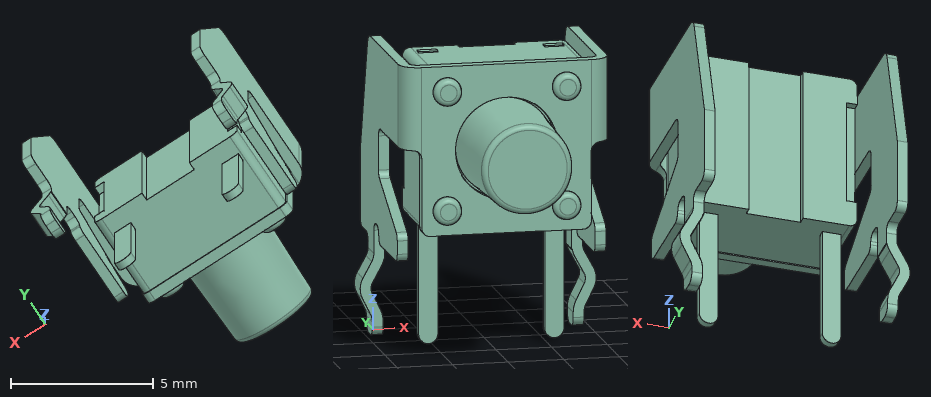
import cadquery as cq
import math


overall_height = 10.7

sheet = 0.4
plate_size = 6.1
plate_half = plate_size / 2
plate_corner = 0.3
bracket_width = 7.51
bracket_half = bracket_width / 2
bend_outer = 0.7
bend_inner = bend_outer - sheet

arm_back = 7.0
arm_bottom = -4.13
arm_top_back = 5.7
arm_slope_end = -1.39
arm_top_round = 0.5
arm_round = 0.3
window_top = 0.05
window_back = 3.94
window_low = -1.67
tip_front = 0.82
tip_top = -3.16
relief_top = -3.52
relief_front_top = 3.96
relief_front_bottom = 3.84

leg_front = 4.71
leg_width = 1.01
leg_back = leg_front + leg_width
leg_end = plate_half - overall_height
leg_apex = -5.9
kink_pitch = 1.04
apex_offset = 0.57
foot_offset = 0.05
kink_radius = 0.6
apex_radius = 0.4
leg_round = 0.34

body_size = 6.0
body_half = body_size / 2
body_back = 3.5
body_round = 0.3
back_step = 0.3
slot_width = 2.0
side_recess = 0.4
side_recess_half = slot_width

plunger_hole = 1.84
plunger_root = 1.75
plunger_end = 1.62
plunger_length = 3.5
plunger_round = 0.2
rivet_radius = 0.5
rivet_height = 0.3
rivet_round = 0.2
rivet_pitch = 4.29

pin_width = 0.7
pin_thickness = 0.3
pin_x = 2.27
pin_y = 2.68
pin_end = -7.5
pin_raise = 0.04


def block(x0, x1, y0, y1, z0, z1):
    """Axis-aligned block between two opposite corners."""
    return cq.Workplane("XY").box(x1 - x0, y1 - y0, z1 - z0, centered=False).translate((x0, y0, z0))


def mirrored_pair(solid):
    """The solid together with its mirror image across the YZ plane."""
    return solid.union(solid.mirror("YZ"))


def round_edge(solid, point, radius):
    """Round the edge whose middle lies nearest to the point."""
    return solid.edges(cq.NearestToPointSelector(point)).fillet(radius)


def channel():
    """U-shaped sheet, tall enough to contain the plate and both arms."""
    outer = block(-bracket_half, bracket_half, 0, arm_back, leg_apex, plate_half)
    outer = outer.edges("|Z and <Y").fillet(bend_outer)
    inside_half = bracket_half - sheet
    inner = block(-inside_half, inside_half, sheet, arm_back, leg_apex, plate_half)
    inner = inner.edges("|Z and <Y").fillet(bend_inner)
    return outer.cut(inner)


def arm_blank():
    """Side outline of the arms, extruded across the whole bracket."""
    upper_kink = leg_apex + kink_pitch
    outline = [
        ((0, plate_half), 0),
        ((arm_top_back, plate_half), arm_top_round),
        ((arm_back, arm_slope_end), 0),
        ((arm_back, arm_bottom), arm_round),
        ((leg_back, arm_bottom), arm_round),
        ((leg_back, upper_kink), 0),
        ((leg_front, upper_kink), 0),
        ((leg_front, relief_top), arm_round),
        ((relief_front_top, relief_top), arm_round),
        ((relief_front_bottom, arm_bottom), arm_round),
        ((tip_front, arm_bottom), arm_round),
        ((tip_front, tip_top), arm_round),
        ((window_back, window_low), arm_round),
        ((window_back, window_top), arm_round),
        ((0, window_top), 0),
    ]
    points = [corner for corner, _ in outline]
    blank = cq.Workplane("YZ").polyline(points).close().extrude(bracket_half, both=True)
    for (y, z), radius in outline:
        if radius:
            blank = round_edge(blank, (0, y, z), radius)
    return blank


def bend_web():
    """Concave fillet joining the underside of the bent flange to the plate edge, on the +X side."""
    inside = bracket_half - sheet
    radius = inside - plate_half
    web = block(plate_half, inside, 0, bend_outer, window_top - radius, window_top)
    cutter = cq.Workplane("XZ").center(inside, window_top - radius).circle(radius).extrude(-bend_outer)
    return web.cut(cutter)


def leg():
    """Kinked lower part of the +X leg, bent outward and back again."""
    arm_mid = bracket_half - sheet / 2
    lean_out = math.atan2(apex_offset, kink_pitch)
    lean_back = math.atan2(foot_offset - apex_offset, kink_pitch)
    stations = [
        (0, leg_apex + kink_pitch + sheet, 0, 0, 0),
        (0, leg_apex + kink_pitch, 0, lean_out, kink_radius),
        (apex_offset, leg_apex, lean_out, lean_back, apex_radius),
        (foot_offset, leg_apex - kink_pitch, lean_back, 0, kink_radius),
        (foot_offset, leg_end, 0, 0, 0),
    ]
    outer_side = []
    inner_side = []
    rounds = []
    for offset, z, above, below, radius in stations:
        lean = (above + below) / 2
        reach = sheet / 2 / math.cos((below - above) / 2)
        dx = reach * math.cos(lean)
        dz = reach * math.sin(lean)
        outer_point = (arm_mid + offset + dx, z + dz)
        inner_point = (arm_mid + offset - dx, z - dz)
        outer_side.append(outer_point)
        inner_side.append(inner_point)
        if radius:
            turns_outward = below > above
            rounds.append((outer_point, radius if turns_outward else radius + sheet))
            rounds.append((inner_point, radius + sheet if turns_outward else radius))
    strip = cq.Workplane("XZ", origin=(0, leg_front, 0)).polyline(outer_side + inner_side[::-1])
    strip = strip.close().extrude(-leg_width)
    for (x, z), radius in rounds:
        strip = round_edge(strip, (x, leg_front + leg_width / 2, z), radius)
    return strip.faces("<Z").edges("|X").fillet(leg_round)


def bracket():
    """Front plate with the plunger hole, bent arms and kinked legs."""
    sheet_channel = channel()
    arms = sheet_channel.intersect(arm_blank())
    plate = block(-plate_half, plate_half, 0, sheet, -plate_half, plate_half)
    plate = plate.edges("|Y and <Z").fillet(plate_corner)
    webs = mirrored_pair(bend_web()).intersect(sheet_channel)
    hole = cq.Workplane("XZ").circle(plunger_hole).extrude(-sheet)
    return arms.union(plate).union(webs).cut(hole).union(mirrored_pair(leg()))


def switch_body():
    """Body block behind the plate, with a slot and side recesses in its rear face."""
    body = block(-body_half, body_half, sheet, body_back, -body_half, body_half)
    body = body.edges("|Y").fillet(body_round)
    step_front = body_back - back_step
    slot = block(-slot_width / 2, slot_width / 2, step_front, body_back, -body_half, body_half)
    recess = block(body_half - side_recess, body_half, step_front, body_back,
                   -side_recess_half, side_recess_half)
    return body.cut(slot).cut(mirrored_pair(recess))


def plunger():
    """Tapered round button running from the body through the plate."""
    profile = [(0, sheet), (plunger_root, sheet), (plunger_end, -plunger_length), (0, -plunger_length)]
    button = cq.Workplane("XY").polyline(profile).close().revolve(360, (0, 0, 0), (0, 1, 0))
    return button.faces("<Y").edges().fillet(plunger_round)


def rivets():
    """Four rounded rivet heads on the front plate."""
    heads = cq.Workplane("XZ").rect(rivet_pitch, rivet_pitch, forConstruction=True).vertices()
    heads = heads.circle(rivet_radius).extrude(rivet_height)
    return heads.faces("<Y").edges().fillet(rivet_round)


def pin():
    """Flat +X contact pin with a fully rounded lower end."""
    tip_radius = pin_width / 2
    front = pin_y - pin_thickness / 2
    top = body_half + pin_raise
    outline = (
        cq.Workplane("XZ", origin=(pin_x, front, 0))
        .moveTo(-tip_radius, top)
        .lineTo(-tip_radius, pin_end + tip_radius)
        .threePointArc((0, pin_end), (tip_radius, pin_end + tip_radius))
        .lineTo(tip_radius, top)
        .close()
    )
    return outline.extrude(-pin_thickness)


result = bracket().union(switch_body()).union(plunger()).union(rivets()).union(mirrored_pair(pin()))